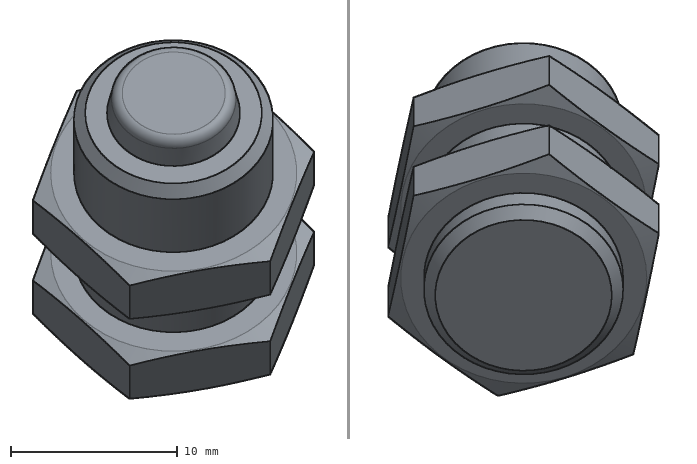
import cadquery as cq
import math

TOTAL_HEIGHT = 22.0
BARREL_DIAMETER = 12.0
BARREL_CHAMFER = 0.68
TIP_HEIGHT = 2.0
TIP_BASE_DIAMETER = 8.0
TIP_TAPER = 10.0
TIP_ROUND = 0.65
NUT_WIDTH = 15.0
NUT_HEIGHT = 4.0
NUT_FACE_DIAMETER = 14.8
NUT_CHAMFER_ANGLE = 15.0
LOWER_NUT_BOTTOM = 2.0
NUT_GAP = 4.0

barrel_height = TOTAL_HEIGHT - TIP_HEIGHT
nut_corner_diameter = NUT_WIDTH / math.cos(math.radians(30))
nut_pitch = NUT_HEIGHT + NUT_GAP
nut_bottoms = [LOWER_NUT_BOTTOM, LOWER_NUT_BOTTOM + nut_pitch]


def make_plunger_body():
    """Chamfered barrel with a tapered, rounded tip on top."""
    barrel = (
        cq.Workplane("XY")
        .circle(BARREL_DIAMETER / 2)
        .extrude(barrel_height)
        .faces("<Z or >Z")
        .chamfer(BARREL_CHAMFER)
    )
    tip = (
        cq.Workplane("XY", origin=(0, 0, barrel_height))
        .circle(TIP_BASE_DIAMETER / 2)
        .extrude(TIP_HEIGHT, taper=TIP_TAPER)
        .faces(">Z")
        .edges()
        .fillet(TIP_ROUND)
    )
    return barrel.union(tip)


def make_nut(bottom):
    """Hex nut with corners along Y, conically chamfered at both ends."""
    hexagon = (
        cq.Workplane("XY")
        .polygon(6, nut_corner_diameter)
        .extrude(NUT_HEIGHT)
        .rotate((0, 0, 0), (0, 0, 1), 30)
    )

    face_radius = NUT_FACE_DIAMETER / 2
    corner_radius = nut_corner_diameter / 2
    chamfer_height = (corner_radius - face_radius) * math.tan(math.radians(NUT_CHAMFER_ANGLE))
    envelope = (
        cq.Workplane("XZ")
        .moveTo(0, 0)
        .lineTo(face_radius, 0)
        .lineTo(corner_radius, chamfer_height)
        .lineTo(corner_radius, NUT_HEIGHT - chamfer_height)
        .lineTo(face_radius, NUT_HEIGHT)
        .lineTo(0, NUT_HEIGHT)
        .close()
        .revolve(360, (0, 0, 0), (0, 1, 0))
    )

    bore = cq.Workplane("XY").circle(BARREL_DIAMETER / 2).extrude(NUT_HEIGHT)
    return hexagon.intersect(envelope).cut(bore).translate((0, 0, bottom))


plunger_body = make_plunger_body()
nuts = [make_nut(bottom) for bottom in nut_bottoms]

result = cq.Compound.makeCompound([plunger_body.val(), *[nut.val() for nut in nuts]])